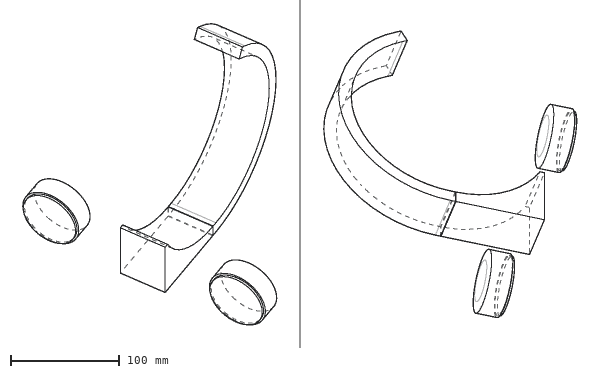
import cadquery as cq
import math

overall_width = 260.2
overall_depth = 197.2

hook_width = 48.1
hook_outer_radius = 107.0
hook_thickness = 12.2
hook_tip_angle = 28.7
hook_straight = 5.0
hook_inner_radius = hook_outer_radius - hook_thickness
hook_center_y = overall_depth - hook_outer_radius
joint_y = hook_center_y - hook_straight

joint_gap = 0.5
foot_height = 60.0
foot_curve_radius = 91.5
foot_back_y = joint_y - joint_gap

knob_radius = foot_height / 2
knob_body_length = 20.3
face_radius = 28.0
face_thickness = 2.3
back_flat_radius = 19.5
back_height = 1.5
knob_x = overall_width / 2 - knob_radius
body_back_y = face_thickness + knob_body_length


def point_on_hook(radius, angle):
    """Point (y, z) on a hook circle; the angle starts at the top and grows toward the back."""
    radians = math.radians(angle)
    y = hook_center_y + radius * math.sin(radians)
    z = hook_outer_radius + radius * math.cos(radians)
    return (y, z)


def point_on_tip(radius):
    """Point (y, z) at the free end of the straight run that leaves the curve tangentially."""
    radians = math.radians(hook_tip_angle)
    y, z = point_on_hook(radius, hook_tip_angle)
    return (y - hook_straight * math.cos(radians), z + hook_straight * math.sin(radians))


def extrude_across(profile):
    """Extrude a closed YZ profile to the hook width, centred on x = 0."""
    return profile.extrude(hook_width / 2, both=True)


def make_hook():
    middle_angle = (hook_tip_angle + 180) / 2
    profile = (
        cq.Workplane("YZ")
        .moveTo(joint_y, 0)
        .lineTo(hook_center_y, 0)
        .threePointArc(
            point_on_hook(hook_outer_radius, middle_angle),
            point_on_hook(hook_outer_radius, hook_tip_angle),
        )
        .lineTo(*point_on_tip(hook_outer_radius))
        .lineTo(*point_on_tip(hook_inner_radius))
        .lineTo(*point_on_hook(hook_inner_radius, hook_tip_angle))
        .threePointArc(
            point_on_hook(hook_inner_radius, middle_angle),
            (hook_center_y, hook_thickness),
        )
        .lineTo(joint_y, hook_thickness)
        .close()
    )
    return extrude_across(profile)


def make_foot():
    """Block whose concave top curves up from the inside of the hook to a narrow ledge."""
    center_z = hook_thickness + foot_curve_radius
    end_angle = math.acos((center_z - foot_height) / foot_curve_radius)

    def point_on_curve(angle):
        y = foot_back_y - foot_curve_radius * math.sin(angle)
        z = center_z - foot_curve_radius * math.cos(angle)
        return (y, z)

    profile = (
        cq.Workplane("YZ")
        .moveTo(0, 0)
        .lineTo(foot_back_y, 0)
        .lineTo(foot_back_y, hook_thickness)
        .threePointArc(point_on_curve(end_angle / 2), point_on_curve(end_angle))
        .lineTo(0, foot_height)
        .close()
    )
    return extrude_across(profile)


def revolve_on_knob_axis(profile, x):
    """Revolve a YZ half profile about the Y axis and move it to a knob position."""
    return profile.revolve(360, (0, 0), (1, 0)).translate((x, 0, knob_radius))


def make_knob_body(x):
    profile = (
        cq.Workplane("YZ")
        .moveTo(face_thickness, 0)
        .lineTo(face_thickness, knob_radius)
        .lineTo(body_back_y, knob_radius)
        .lineTo(body_back_y, 0)
        .close()
    )
    return revolve_on_knob_axis(profile, x)


def make_knob_face(x):
    profile = (
        cq.Workplane("YZ")
        .lineTo(0, face_radius)
        .lineTo(face_thickness, face_radius)
        .lineTo(face_thickness, 0)
        .close()
    )
    return revolve_on_knob_axis(profile, x)


def make_knob_back(x):
    """Shallow cone with a flat end on the back of a knob."""
    flat_y = body_back_y + back_height
    profile = (
        cq.Workplane("YZ")
        .moveTo(body_back_y, 0)
        .lineTo(body_back_y, knob_radius)
        .lineTo(flat_y, back_flat_radius)
        .lineTo(flat_y, 0)
        .close()
    )
    return revolve_on_knob_axis(profile, x)


hook = make_hook()
foot = make_foot()

knob_solids = []
for side in (-1, 1):
    x = side * knob_x
    knob_solids.append(make_knob_body(x).val())
    knob_solids.append(make_knob_face(x).val())
    knob_solids.append(make_knob_back(x).val())

result = cq.Compound.makeCompound([hook.val(), foot.val(), *knob_solids])